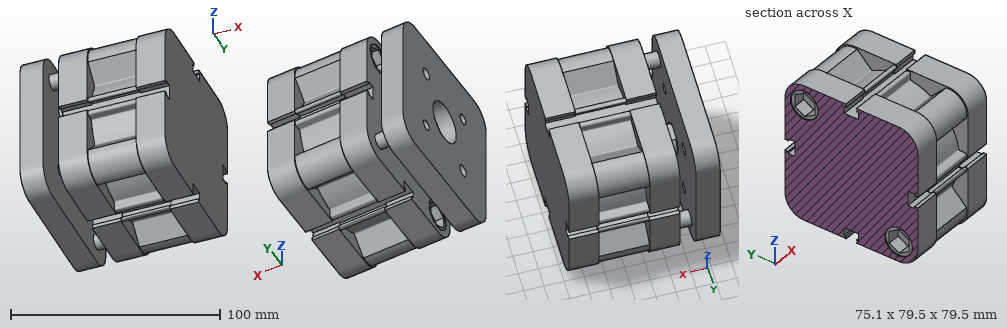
import cadquery as cq
import math

side = 79.5
half_side = side / 2
plate_thickness = 12.0
gap = 7.95
cap_length = 14.9
barrel_length = 25.3
front_cap_x = plate_thickness + gap
barrel_x = front_cap_x + cap_length
rear_cap_x = barrel_x + barrel_length

corner_radius = 11.6
corner_center = half_side - corner_radius

plate_bore_diameter = 22.25
plate_bore_depth = 8.0
mount_hole_offset = 17.6
large_mount_diameter = 6.1
small_mount_diameter = 5.4

rod_diameter = 15.75
rod_across_flats = 12.8
rod_chamfer = 0.5
rod_collar_length = 1.5

guide_diameter = 8.0

barrel_recess = 0.8
barrel_half = half_side - barrel_recess
barrel_corner_radius = corner_radius - barrel_recess
tube_radius = 34.75
lobe_edge = 26.5
lobe_foot_radius = 0.95
rail_half_width = 5.4
rail_foot_radius = 0.7
rail_edge_radius = 1.0

cap_slot_half_width = 3.1
barrel_slot_half_width = 2.7
barrel_slot_edge_radius = 0.4
slot_lip = 2.0
cap_cavity_half_width = 4.1
barrel_cavity_half_width = 4.7
slot_depth = 5.9

screw_recess_diameter = 16.05
screw_recess_depth = 0.5
socket_across_flats = 11.9
socket_depth = 7.15

QUARTER_TURNS = (0, 90, 180, 270)
EDGE_TOLERANCE = 0.001


def yz_plane(x):
    """Workplane across the X axis, with local axes along Y and Z."""
    return cq.Workplane("YZ", origin=(x, 0, 0))


def rounded_square(x, length, half, radius):
    block = yz_plane(x).rect(2 * half, 2 * half).extrude(length)
    return block.edges("|X").fillet(radius)


def turned(body, angle):
    return body.rotate((0, 0, 0), (1, 0, 0), angle)


def make_plate():
    plate = rounded_square(0, plate_thickness, half_side, corner_radius)
    plate = plate.cut(yz_plane(0).circle(plate_bore_diameter / 2).extrude(plate_bore_depth))
    for diameter, slope in ((large_mount_diameter, 1), (small_mount_diameter, -1)):
        centers = [(s * mount_hole_offset, s * slope * mount_hole_offset) for s in (1, -1)]
        holes = yz_plane(0).pushPoints(centers).circle(diameter / 2).extrude(plate_thickness)
        plate = plate.cut(holes)
    return plate


def make_piston_rod():
    """Rod end between plate and housing, flattened on top and bottom ahead of a round collar."""
    rod = yz_plane(plate_thickness).circle(rod_diameter / 2).extrude(gap)
    rod = rod.faces("<X").chamfer(rod_chamfer)
    flat_length = gap - rod_collar_length
    flat_stock = yz_plane(plate_thickness).rect(rod_diameter, rod_diameter).extrude(flat_length)
    flat_core = yz_plane(plate_thickness).rect(rod_diameter, rod_across_flats).extrude(flat_length)
    return rod.cut(flat_stock.cut(flat_core))


def make_guide_rod(y, z):
    return yz_plane(plate_thickness).center(y, z).circle(guide_diameter / 2).extrude(gap)


def make_slot(x, length, top, opening_half_width, cavity_half_width):
    """T-shaped slot in the top side; its lip and floor depths count from the cap surface."""
    lip_z = half_side - slot_lip
    floor_z = half_side - slot_depth
    opening = yz_plane(x).center(0, (floor_z + top) / 2).rect(2 * opening_half_width, top - floor_z)
    cavity = yz_plane(x).center(0, (floor_z + lip_z) / 2).rect(2 * cavity_half_width, lip_z - floor_z)
    return opening.extrude(length).union(cavity.extrude(length))


def make_lobes(flank_offset):
    """Corner lobes: a round head at each corner on a diagonal web with 45-degree flanks."""
    head_tip = corner_center + barrel_corner_radius * math.sqrt(0.5)
    lobe = (
        yz_plane(barrel_x)
        .moveTo(0, flank_offset)
        .lineTo(lobe_edge, lobe_edge + flank_offset)
        .threePointArc((head_tip, head_tip), (lobe_edge + flank_offset, lobe_edge))
        .lineTo(flank_offset, 0)
        .close()
        .extrude(barrel_length)
    )
    return [turned(lobe, angle) for angle in QUARTER_TURNS]


def make_rails():
    """Rails that carry the sensor slots, one along the middle of each side."""
    outline = yz_plane(barrel_x).center(0, barrel_half / 2).rect(2 * rail_half_width, barrel_half)
    rail = outline.extrude(barrel_length)
    rail = rail.edges("|X and >Z").fillet(rail_edge_radius)
    return [turned(rail, angle) for angle in QUARTER_TURNS]


def fillet_edges(barrel, near, far, radius):
    """Fillet the barrel edges that run along X at (near, far) and its mirrored and swapped places."""

    def is_chosen(edge):
        distances = sorted((abs(edge.Center().y), abs(edge.Center().z)))
        return math.dist(distances, (near, far)) < EDGE_TOLERANCE

    return barrel.edges("|X").filter(is_chosen).fillet(radius)


def make_barrel():
    lobe_edge_rise = math.sqrt(barrel_corner_radius**2 - (corner_center - lobe_edge) ** 2)
    flank_offset = corner_center + lobe_edge_rise - lobe_edge
    barrel = yz_plane(barrel_x).circle(tube_radius).extrude(barrel_length)
    for part in make_lobes(flank_offset) + make_rails():
        barrel = barrel.union(part)
    lobe_foot_y = (math.sqrt(2 * tube_radius**2 - flank_offset**2) - flank_offset) / 2
    rail_foot_z = math.sqrt(tube_radius**2 - rail_half_width**2)
    barrel = fillet_edges(barrel, lobe_foot_y, lobe_foot_y + flank_offset, lobe_foot_radius)
    barrel = fillet_edges(barrel, rail_half_width, rail_foot_z, rail_foot_radius)
    slot = make_slot(barrel_x, barrel_length, barrel_half, barrel_slot_half_width, barrel_cavity_half_width)
    for angle in QUARTER_TURNS:
        barrel = barrel.cut(turned(slot, angle))
    return fillet_edges(barrel, barrel_slot_half_width, barrel_half, barrel_slot_edge_radius)


def make_screw_cutout(y, z):
    """Round recess over a hexagon socket, its flats facing along Y."""
    center = yz_plane(front_cap_x).center(y, z)
    recess = center.circle(screw_recess_diameter / 2).extrude(screw_recess_depth)
    socket_diameter = socket_across_flats / math.cos(math.pi / 6)
    socket = (
        yz_plane(front_cap_x)
        .center(y, z)
        .transformed(rotate=(0, 0, 90))
        .polygon(6, socket_diameter)
        .extrude(screw_recess_depth + socket_depth)
    )
    return recess.union(socket)


def make_cap(cap_x):
    cap = rounded_square(cap_x, cap_length, half_side, corner_radius)
    slot = make_slot(cap_x, cap_length, half_side, cap_slot_half_width, cap_cavity_half_width)
    for angle in QUARTER_TURNS:
        cap = cap.cut(turned(slot, angle))
    return cap


def make_housing():
    """Two square caps joined by the profiled barrel, with screw heads sunk in the front cap."""
    housing = make_cap(front_cap_x).union(make_barrel()).union(make_cap(rear_cap_x))
    for sign in (1, -1):
        housing = housing.cut(make_screw_cutout(sign * corner_center, sign * corner_center))
    return housing


plate = make_plate()
piston_rod = make_piston_rod()
guide_rods = [make_guide_rod(s * corner_center, -s * corner_center) for s in (1, -1)]
housing = make_housing()

bodies = [plate, piston_rod, *guide_rods, housing]
result = cq.Compound.makeCompound([body.solids().val() for body in bodies])